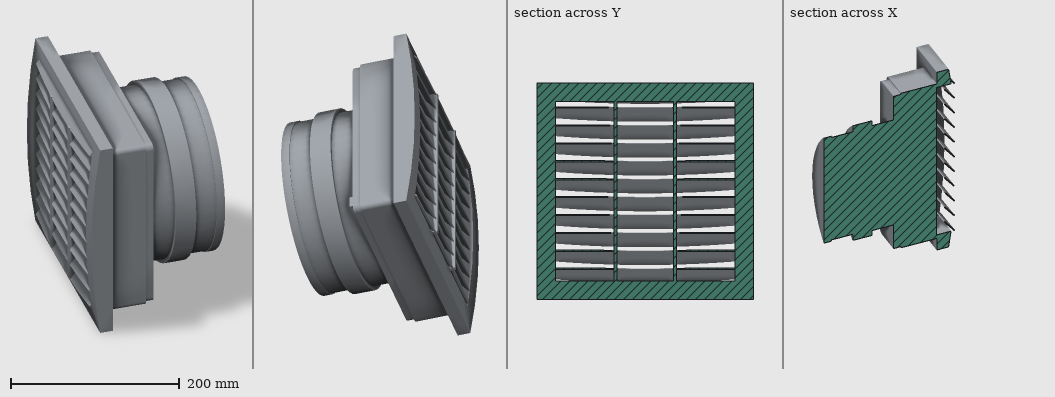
import cadquery as cq
import math


FRAME_SIDE = 257.0
FRAME_BACK_Y = 26.2
FRAME_BULGE = 10.5

WINDOW_WIDTH = 212.0
WINDOW_TOP_Z = WINDOW_WIDTH / 2
WINDOW_BOTTOM_Z = -WINDOW_TOP_Z

SLAT_COUNT = 11
SLAT_PITCH = WINDOW_WIDTH / (SLAT_COUNT - 1)
LOWEST_TIP_Z = -108.2
TIP_Y = 0.8
SLAT_ANGLE = 51.0
SLAT_THICKNESS = 1.3
SLAT_LENGTH = 21.0
SLAT_BOW = 5.5

RIB_WIDTH = 4.4
RIB_HEIGHT = WINDOW_WIDTH
RIB_X = WINDOW_WIDTH / 6

BOX_SIDE = 223.5
BOX_BACK_Y = 72.7
BOX_CORNER = 5.1
STEP_SIDE = 220.2
STEP_BACK_Y = 82.5
STEP_CORNER = 7.0

TAB_SIDE = 14.1
TAB_HEIGHT = 5.0
TAB_LEFT_X = -107.2
TAB_BOTTOM_Z = -102.0

COLLAR_DIAMETER = 209.5
BAND_DIAMETER = 219.5
TUBE_DIAMETER = 207.0
LIP_DIAMETER = COLLAR_DIAMETER
BAND_FRONT_Y = 110.3
BAND_BACK_Y = 135.7
LIP_FRONT_Y = 162.7
DUCT_BACK_Y = 173.0


def block(x_size, z_size, y_front, y_back, x_mid=0.0, z_mid=0.0):
    """Box given by its X and Z sizes and its Y range."""
    return (
        cq.Workplane("XY")
        .box(x_size, y_back - y_front, z_size)
        .translate((x_mid, (y_front + y_back) / 2, z_mid))
    )


def disc(diameter, y_front, y_back):
    """Cylinder along Y."""
    return cq.Workplane("XZ", origin=(0, y_front, 0)).circle(diameter / 2).extrude(y_front - y_back)


def make_frame():
    """Frame whose front bulges along Z, with the window sunk to the frame's back plane."""
    half = FRAME_SIDE / 2
    frame = (
        cq.Workplane("YZ")
        .moveTo(FRAME_BACK_Y, -half)
        .lineTo(FRAME_BULGE, -half)
        .threePointArc((0, 0), (FRAME_BULGE, half))
        .lineTo(FRAME_BACK_Y, half)
        .close()
        .extrude(half, both=True)
    )
    window_height = WINDOW_TOP_Z - WINDOW_BOTTOM_Z
    window_mid_z = (WINDOW_TOP_Z + WINDOW_BOTTOM_Z) / 2
    return frame.cut(block(WINDOW_WIDTH, window_height, 0, FRAME_BACK_Y, z_mid=window_mid_z))


def make_slat(tip_z):
    """Plate across the window that rises inward, with its tip and inner edge bowed alike."""
    half = WINDOW_WIDTH / 2
    tilt = math.radians(SLAT_ANGLE)
    upper_face = cq.Plane(
        origin=(0, TIP_Y, tip_z),
        xDir=(1, 0, 0),
        normal=(0, -math.sin(tilt), math.cos(tilt)),
    )
    return (
        cq.Workplane(upper_face)
        .moveTo(-half, SLAT_BOW)
        .threePointArc((0, 0), (half, SLAT_BOW))
        .lineTo(half, SLAT_LENGTH + SLAT_BOW)
        .threePointArc((0, SLAT_LENGTH), (-half, SLAT_LENGTH + SLAT_BOW))
        .close()
        .extrude(-SLAT_THICKNESS)
    )


def make_housing():
    """Box and step behind the frame, with rounded long edges, and the small tab."""
    box = block(BOX_SIDE, BOX_SIDE, FRAME_BACK_Y, BOX_BACK_Y).edges("|Y").fillet(BOX_CORNER)
    step = block(STEP_SIDE, STEP_SIDE, BOX_BACK_Y, STEP_BACK_Y).edges("|Y").fillet(STEP_CORNER)
    tab = block(
        TAB_SIDE,
        TAB_SIDE,
        STEP_BACK_Y,
        STEP_BACK_Y + TAB_HEIGHT,
        x_mid=TAB_LEFT_X + TAB_SIDE / 2,
        z_mid=TAB_BOTTOM_Z + TAB_SIDE / 2,
    )
    return box.union(step).union(tab)


def make_duct():
    """Collar, band, tube and end lip on one axis."""
    collar = disc(COLLAR_DIAMETER, STEP_BACK_Y, BAND_FRONT_Y)
    band = disc(BAND_DIAMETER, BAND_FRONT_Y, BAND_BACK_Y)
    tube = disc(TUBE_DIAMETER, BAND_BACK_Y, LIP_FRONT_Y)
    lip = disc(LIP_DIAMETER, LIP_FRONT_Y, DUCT_BACK_Y)
    return collar.union(band).union(tube).union(lip)


result = make_frame().union(make_housing()).union(make_duct())

for side in (-1, 1):
    result = result.union(block(RIB_WIDTH, RIB_HEIGHT, 0, FRAME_BACK_Y, x_mid=side * RIB_X))

for index in range(SLAT_COUNT):
    result = result.union(make_slat(LOWEST_TIP_Z + index * SLAT_PITCH))